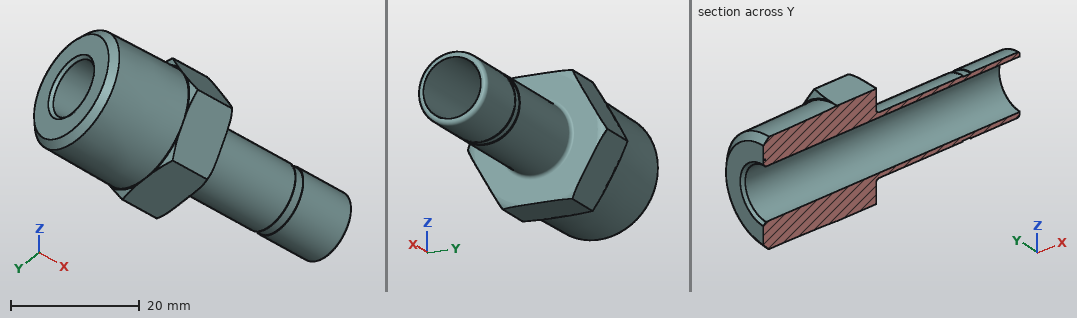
import cadquery as cq
import math

total_length = 52.0
thread_chamfer_length = 1.15
hex_start = 14.9
hex_end = 22.95
groove_start = 40.45
groove_end = 42.0

thread_face_diameter = 18.05
thread_small_diameter = 20.5
thread_large_diameter = 20.95

across_flats = 21.0
across_corners = across_flats / math.cos(math.pi / 6)
front_face_diameter = 21.4
front_chamfer_depth = 0.5
back_face_diameter = 21.4
back_rounding_depth = 0.5

stem_diameter = 12.0
groove_diameter = 11.7
stem_fillet = 0.6
bore_diameter = 10.0
bore_mouth_diameter = 11.1
bore_chamfer = (bore_mouth_diameter - bore_diameter) / 2


def revolve_profile(points):
    """Revolve (x, diameter) stations about the X axis, closed along the axis."""
    outline = [(points[0][0], 0)]
    outline += [(x, diameter / 2) for x, diameter in points]
    outline += [(points[-1][0], 0)]
    return cq.Workplane("XY").polyline(outline).close().revolve(360, (0, 0, 0), (1, 0, 0))


def make_tapered_end():
    return revolve_profile([
        (0, thread_face_diameter),
        (thread_chamfer_length, thread_small_diameter),
        (hex_start, thread_large_diameter),
    ])


def make_hexagon():
    """Hexagonal prism with corners turned to a cone in front and a tangent round behind."""
    prism = (
        cq.Workplane("YZ", origin=(hex_start, 0, 0))
        .polygon(6, across_corners)
        .extrude(hex_end - hex_start)
    )
    corner_radius = across_corners / 2
    turned_envelope = (
        cq.Workplane("XY")
        .moveTo(hex_end, 0)
        .lineTo(hex_end, back_face_diameter / 2)
        .tangentArcPoint((hex_end - back_rounding_depth, corner_radius), relative=False)
        .lineTo(hex_start + front_chamfer_depth, corner_radius)
        .lineTo(hex_start, front_face_diameter / 2)
        .lineTo(hex_start, 0)
        .close()
        .revolve(360, (0, 0, 0), (1, 0, 0))
    )
    return prism.intersect(turned_envelope)


def make_stem():
    """Grooved tube stem, rounded at its tip and flared into the hexagon."""
    stem_radius = stem_diameter / 2
    groove_radius = groove_diameter / 2
    arc_offset = stem_fillet * (1 - math.sqrt(0.5))
    return (
        cq.Workplane("XY")
        .moveTo(hex_end, 0)
        .lineTo(hex_end, stem_radius + stem_fillet)
        .threePointArc(
            (hex_end + arc_offset, stem_radius + arc_offset),
            (hex_end + stem_fillet, stem_radius),
        )
        .lineTo(groove_start, stem_radius)
        .lineTo(groove_start, groove_radius)
        .lineTo(groove_end, groove_radius)
        .lineTo(groove_end, stem_radius)
        .lineTo(total_length - stem_fillet, stem_radius)
        .threePointArc(
            (total_length - arc_offset, stem_radius - arc_offset),
            (total_length, stem_radius - stem_fillet),
        )
        .lineTo(total_length, 0)
        .close()
        .revolve(360, (0, 0, 0), (1, 0, 0))
    )


def make_bore():
    """Through bore with a chamfered mouth at the tapered end."""
    return revolve_profile([
        (0, bore_mouth_diameter),
        (bore_chamfer, bore_diameter),
        (total_length, bore_diameter),
    ])


body = make_tapered_end().union(make_hexagon()).union(make_stem())
result = body.cut(make_bore())